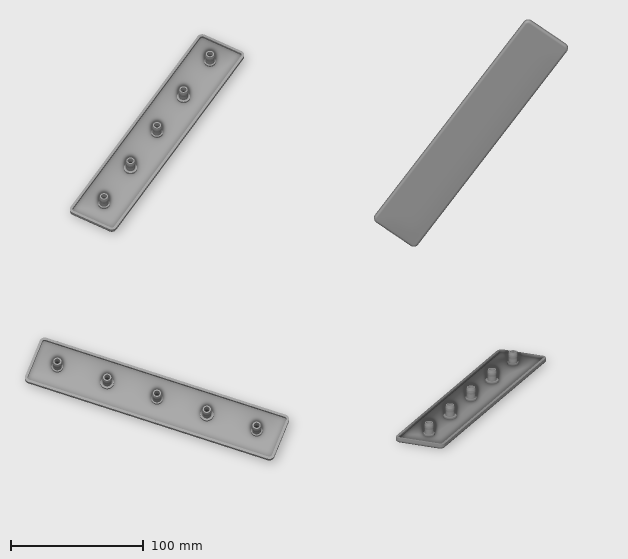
import cadquery as cq

plate_width = 40.0
plate_length = 200.0
plate_height = 4.0
corner_radius = 4.0
bottom_fillet = 2.0
rim_width = 2.0
floor_height = 2.0

post_top = 12.0
body_radius = 6.5 / 2
body_top = 7.0
barb_radius = 7.0 / 2
tip_radius = 6.2 / 2
barb_bottom = 8.5
barb_top = 10.0
post_pitch = 40.0
post_count = 5

narrow_collar_radius = 8.5 / 2
wide_collar_radius = 10.0 / 2
collar_height = 1.5

bore_radius = 4.5 / 2
bore_straight_depth = 5.8


def make_tray():
    """Round-cornered plate with a shallow recess and a rounded lower edge."""
    tray = (
        cq.Workplane("XY")
        .rect(plate_width, plate_length)
        .extrude(plate_height)
        .edges("|Z")
        .fillet(corner_radius)
        .faces("<Z")
        .edges()
        .fillet(bottom_fillet)
    )
    recess = (
        cq.Workplane("XY", origin=(0, 0, floor_height))
        .rect(plate_width - 2 * rim_width, plate_length - 2 * rim_width)
        .extrude(plate_height - floor_height)
        .edges("|Z")
        .fillet(corner_radius - rim_width)
    )
    return tray.cut(recess)


def make_post(collar_radius):
    """Barbed post on its collar, with a round-bottomed bore from the top."""
    collar_top = floor_height + collar_height
    bore_end_center = post_top - bore_straight_depth

    outline = [
        (0, floor_height),
        (collar_radius, floor_height),
        (collar_radius, collar_top),
        (body_radius, collar_top),
        (body_radius, body_top),
        (barb_radius, barb_bottom),
        (barb_radius, barb_top),
        (tip_radius, post_top),
        (0, post_top),
    ]
    post = cq.Workplane("XZ").polyline(outline).close().revolve(360, (0, 0), (0, 1))

    bore = (
        cq.Workplane("XY", origin=(0, 0, bore_end_center))
        .circle(bore_radius)
        .extrude(bore_straight_depth)
    )
    bore_end = cq.Workplane("XY").sphere(bore_radius).translate((0, 0, bore_end_center))
    return post.cut(bore).cut(bore_end)


result = make_tray()
for index in range(post_count):
    post_y = (index - (post_count - 1) / 2) * post_pitch
    collar_radius = wide_collar_radius if index % 2 else narrow_collar_radius
    result = result.union(make_post(collar_radius).translate((0, post_y, 0)))